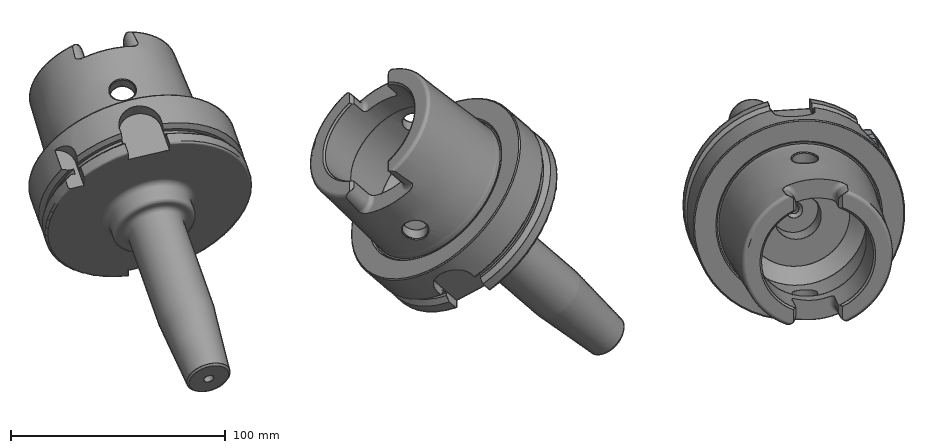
import cadquery as cq
import math


TOTAL_LENGTH = 180.0
TAPER_LENGTH = 50.0
FLANGE_LENGTH = 29.0
BOSS_LENGTH = 10.3
TIP_LENGTH = 38.2

FLANGE_END = TAPER_LENGTH + FLANGE_LENGTH
BOSS_END = FLANGE_END + BOSS_LENGTH
TIP_START = TOTAL_LENGTH - TIP_LENGTH

MOUTH_DIA = 71.1
TAPER_DIA = 75.5
FLANGE_DIA = 100.0
BOSS_DIA = 40.0
STEM_DIA = 27.0
TIP_TAPER_ANGLE = 4.5

MOUTH_ROUND = 1.8
COLLAR_LENGTH = 2.3
COLLAR_CONE_LENGTH = 1.3
COLLAR_DIA = 75.8
FACE_RECESS_DIA = 78.8
FACE_RECESS_DEPTH = 0.7
FLANGE_BACK_CHAMFER = 0.5
FLANGE_FRONT_ROUND = 1.0
BOSS_ROOT_FILLET = 3.0
BOSS_EDGE_FILLET = 2.0
STEM_ROOT_FILLET = 2.5
TIP_CHAMFER = 0.9

GROOVE_DIA = 92.0
GROOVE_FLOOR_START = 68.5
GROOVE_FLOOR_END = 71.3
GROOVE_BACK_FLARE = 1.5
GROOVE_FRONT_FLARE = 2.0
GROOVE_FLARE_DEPTH = 2.5

BORE_DIA = 53.0
BORE_CHAMFER = 0.9
BORE_DEPTH = 20.0
CLAMP_DIA = 63.0
CAVITY_DEPTH = 54.0
CAVITY_FLOOR_DIA = 49.3

COOLANT_SEAT_DIA = 22.3
COOLANT_SEAT_DEPTH = 9.0
COOLANT_CONE_DIA = 8.0
COOLANT_HOLE_DIA = 4.9

CROSS_HOLE_DIA = 12.0
CROSS_HOLE_CHAMFER = 0.45
CROSS_HOLE_X = 35.0

DRIVE_SLOT_WIDTH = 20.0
TOP_DRIVE_SLOT_DEPTH = 9.9
BOTTOM_DRIVE_SLOT_DEPTH = 14.5
DRIVE_SLOT_CORNER_RADIUS = 5.0
DRIVE_SLOT_LAND = 32.4
DRIVE_SLOT_FLOOR_FILLET = 2.2
DRIVE_SLOT_CHAMFER = 1.6

KEY_SLOT_WIDTH = 20.0
KEY_SLOT_FLOOR = 44.0
KEY_SLOT_CENTER_X = 64.8
NOTCH_OFFSET = 31.5
NOTCH_RADIUS = 9.2

CLEARANCE = 9.0


def revolve_about_x(profile):
    return profile.close().revolve(360, (0, 0, 0), (1, 0, 0))


def make_body():
    mouth_r = MOUTH_DIA / 2
    taper_r = TAPER_DIA / 2
    collar_r = COLLAR_DIA / 2
    recess_r = FACE_RECESS_DIA / 2
    flange_r = FLANGE_DIA / 2
    boss_r = BOSS_DIA / 2
    stem_r = STEM_DIA / 2
    tip_r = stem_r - TIP_LENGTH * math.tan(math.radians(TIP_TAPER_ANGLE))
    collar_start = TAPER_LENGTH - COLLAR_LENGTH

    profile = (
        cq.Workplane("XY")
        .lineTo(0, mouth_r - MOUTH_ROUND)
        .radiusArc((MOUTH_ROUND, mouth_r), MOUTH_ROUND)
        .lineTo(collar_start, taper_r)
        .lineTo(collar_start + COLLAR_CONE_LENGTH, collar_r)
        .lineTo(TAPER_LENGTH + FACE_RECESS_DEPTH, collar_r)
        .lineTo(TAPER_LENGTH + FACE_RECESS_DEPTH, recess_r - FACE_RECESS_DEPTH)
        .lineTo(TAPER_LENGTH, recess_r)
        .lineTo(TAPER_LENGTH, flange_r - FLANGE_BACK_CHAMFER)
        .lineTo(TAPER_LENGTH + FLANGE_BACK_CHAMFER, flange_r)
        .lineTo(FLANGE_END - FLANGE_FRONT_ROUND, flange_r)
        .radiusArc((FLANGE_END, flange_r - FLANGE_FRONT_ROUND), FLANGE_FRONT_ROUND)
        .lineTo(FLANGE_END, boss_r + BOSS_ROOT_FILLET)
        .radiusArc((FLANGE_END + BOSS_ROOT_FILLET, boss_r), -BOSS_ROOT_FILLET)
        .lineTo(BOSS_END - BOSS_EDGE_FILLET, boss_r)
        .radiusArc((BOSS_END, boss_r - BOSS_EDGE_FILLET), BOSS_EDGE_FILLET)
        .lineTo(BOSS_END, stem_r + STEM_ROOT_FILLET)
        .radiusArc((BOSS_END + STEM_ROOT_FILLET, stem_r), -STEM_ROOT_FILLET)
        .lineTo(TIP_START, stem_r)
        .lineTo(TOTAL_LENGTH - TIP_CHAMFER, tip_r)
        .lineTo(TOTAL_LENGTH, tip_r - TIP_CHAMFER)
        .lineTo(TOTAL_LENGTH, 0)
    )
    return revolve_about_x(profile)


def make_gripper_groove():
    floor_r = GROOVE_DIA / 2
    flange_r = FLANGE_DIA / 2
    flare_r = flange_r - GROOVE_FLARE_DEPTH
    profile = (
        cq.Workplane("XY")
        .moveTo(GROOVE_FLOOR_START, floor_r)
        .lineTo(GROOVE_FLOOR_START, flare_r)
        .lineTo(GROOVE_FLOOR_START - GROOVE_BACK_FLARE, flange_r)
        .lineTo(GROOVE_FLOOR_START - GROOVE_BACK_FLARE, flange_r + CLEARANCE)
        .lineTo(GROOVE_FLOOR_END + GROOVE_FRONT_FLARE, flange_r + CLEARANCE)
        .lineTo(GROOVE_FLOOR_END + GROOVE_FRONT_FLARE, flange_r)
        .lineTo(GROOVE_FLOOR_END, flare_r)
        .lineTo(GROOVE_FLOOR_END, floor_r)
    )
    return revolve_about_x(profile)


def make_cavity():
    bore_r = BORE_DIA / 2
    clamp_r = CLAMP_DIA / 2
    floor_r = CAVITY_FLOOR_DIA / 2
    seat_r = COOLANT_SEAT_DIA / 2
    cone_r = COOLANT_CONE_DIA / 2
    hole_r = COOLANT_HOLE_DIA / 2
    seat_end = CAVITY_DEPTH + COOLANT_SEAT_DEPTH
    profile = (
        cq.Workplane("XY")
        .lineTo(0, bore_r + BORE_CHAMFER)
        .lineTo(BORE_CHAMFER, bore_r)
        .lineTo(BORE_DEPTH, bore_r)
        .lineTo(BORE_DEPTH, clamp_r)
        .lineTo(CAVITY_DEPTH - (clamp_r - floor_r), clamp_r)
        .lineTo(CAVITY_DEPTH, floor_r)
        .lineTo(CAVITY_DEPTH, seat_r)
        .lineTo(seat_end, seat_r)
        .lineTo(seat_end, cone_r)
        .lineTo(seat_end + cone_r - hole_r, hole_r)
        .lineTo(TOTAL_LENGTH, hole_r)
        .lineTo(TOTAL_LENGTH, 0)
    )
    return revolve_about_x(profile)


def body_with_cross_hole():
    radius = CROSS_HOLE_DIA / 2
    hole = cq.Workplane("XY").center(CROSS_HOLE_X, 0).circle(radius).extrude(FLANGE_DIA / 2, both=True)
    hole_zone = cq.selectors.BoxSelector(
        (CROSS_HOLE_X - radius, -radius, -FLANGE_DIA / 2),
        (CROSS_HOLE_X + radius, radius, FLANGE_DIA / 2),
    )
    rims = make_body().cut(hole).edges(hole_zone).edges("not %LINE")
    return rims.chamfer(CROSS_HOLE_CHAMFER)


def make_drive_slot(depth):
    """Slot on the +Z side with rounded lobe corners, a rounded floor edge and chamfered mouth edges."""
    wall = DRIVE_SLOT_WIDTH / 2
    corner_start = DRIVE_SLOT_LAND - DRIVE_SLOT_CORNER_RADIUS
    corner_end = wall + DRIVE_SLOT_CORNER_RADIUS
    reach = FLANGE_DIA / 2
    blank = (
        cq.Workplane("YZ")
        .moveTo(-wall, 0)
        .lineTo(wall, 0)
        .lineTo(wall, corner_start)
        .radiusArc((corner_end, DRIVE_SLOT_LAND), DRIVE_SLOT_CORNER_RADIUS)
        .lineTo(reach, DRIVE_SLOT_LAND)
        .lineTo(reach, reach)
        .lineTo(-reach, reach)
        .lineTo(-reach, DRIVE_SLOT_LAND)
        .lineTo(-corner_end, DRIVE_SLOT_LAND)
        .radiusArc((-wall, corner_start), DRIVE_SLOT_CORNER_RADIUS)
        .close()
        .extrude(depth)
    )
    margin = 0.2
    floor_edges = cq.selectors.BoxSelector(
        (depth - margin, margin - reach, margin),
        (depth + margin, reach - margin, DRIVE_SLOT_LAND + margin),
    )
    mouth_half = wall + DRIVE_SLOT_CHAMFER
    mouth_wedge = (
        cq.Workplane("XY")
        .moveTo(0, -mouth_half)
        .lineTo(0, mouth_half)
        .lineTo(mouth_half, 0)
        .close()
        .extrude(DRIVE_SLOT_LAND)
        .intersect(cq.Workplane("XY").box(2 * DRIVE_SLOT_CHAMFER, 2 * reach, 2 * reach))
    )
    return blank.edges(floor_edges).fillet(DRIVE_SLOT_FLOOR_FILLET).union(mouth_wedge)


def make_round_ended_cutter(width, floor, center_y):
    """Upright cutter open toward +X, with a half-round end, standing on the level z = floor."""
    length = FLANGE_END + CLEARANCE - KEY_SLOT_CENTER_X
    plane = cq.Workplane("XY", origin=(KEY_SLOT_CENTER_X, center_y, floor))
    round_end = plane.circle(width / 2).extrude(FLANGE_DIA / 2)
    straight = plane.rect(2 * length, width).extrude(FLANGE_DIA / 2).intersect(
        plane.center(length / 2, 0).rect(length, width).extrude(FLANGE_DIA / 2)
    )
    return round_end.union(straight)


key_slot = make_round_ended_cutter(KEY_SLOT_WIDTH, KEY_SLOT_FLOOR, 0)
notch = make_round_ended_cutter(2 * NOTCH_RADIUS, NOTCH_OFFSET, -NOTCH_OFFSET - NOTCH_RADIUS)

result = (
    body_with_cross_hole()
    .cut(make_drive_slot(TOP_DRIVE_SLOT_DEPTH))
    .cut(make_drive_slot(BOTTOM_DRIVE_SLOT_DEPTH).mirror("XY"))
    .cut(make_gripper_groove())
    .cut(make_cavity())
    .cut(key_slot)
    .cut(key_slot.mirror("XY"))
    .cut(notch)
)